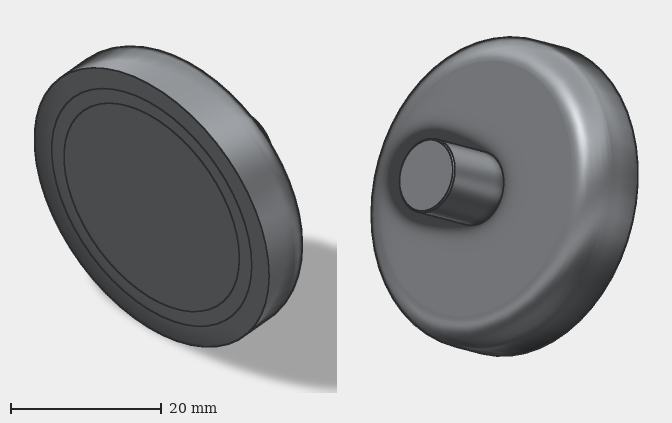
import cadquery as cq

overall_diameter = 42.0
overall_length = 18.65
pot_height = 8.9
rim_radius = 3.8
stud_diameter = 10.0
stud_chamfer = 0.2
recess_diameter = 35.8
magnet_diameter = 31.37
recess_depth = 5.05


def cylinder(diameter, start, length):
    """Solid cylinder along +Y, beginning at Y = start."""
    plane = cq.Plane(origin=(0, start, 0), xDir=(1, 0, 0), normal=(0, 1, 0))
    return cq.Workplane(plane).circle(diameter / 2).extrude(length)


def make_housing():
    """Round-backed pot with its stud and a recess in the holding face."""
    pot = cylinder(overall_diameter, 0, pot_height).faces(">Y").edges().fillet(rim_radius)
    stud = cylinder(stud_diameter, pot_height, overall_length - pot_height)
    stud = stud.faces(">Y").edges().chamfer(stud_chamfer)
    recess = cylinder(recess_diameter, 0, recess_depth)
    return pot.union(stud).cut(recess)


def make_magnet():
    """Disc in the middle of the recess, flush with the holding face."""
    return cylinder(magnet_diameter, 0, recess_depth)


def make_ring():
    """Ring filling the recess between the magnet and the pot wall."""
    return cylinder(recess_diameter, 0, recess_depth).cut(make_magnet())


housing = make_housing()
magnet = make_magnet()
ring = make_ring()

result = cq.Compound.makeCompound([housing.val(), magnet.val(), ring.val()])